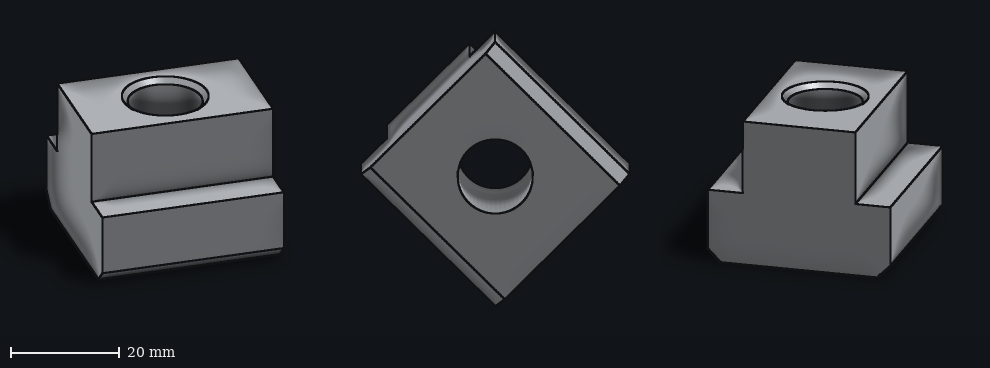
import cadquery as cq

length = 35.0
base_width = 35.0
total_height = 28.0
base_height = total_height / 2

neck_width = 21.6
edge_chamfer = 2.5

hole_diameter = 13.82
countersink_diameter = 16.0
countersink_angle = 90.0


def make_base():
    base = cq.Workplane("XY").box(base_width, length, base_height, centered=(True, True, False))
    return base.faces("<Z").edges("|Y").chamfer(edge_chamfer)


def make_neck():
    return cq.Workplane("XY").box(neck_width, length, total_height, centered=(True, True, False))


t_nut = make_base().union(make_neck())
result = t_nut.faces(">Z").workplane(origin=(0, 0, total_height)).cskHole(
    hole_diameter, countersink_diameter, countersink_angle
)